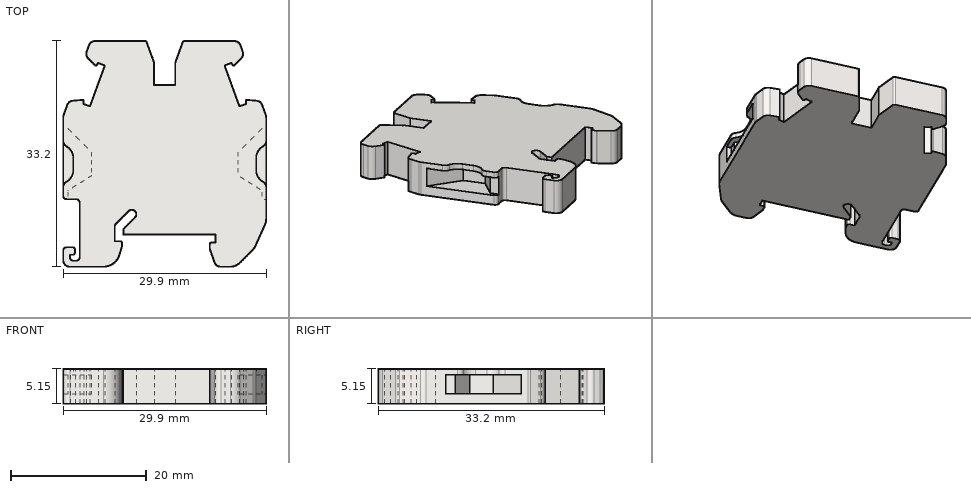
import math

import cadquery as cq

width = 29.9
height = 33.25
thickness = 5.15
half_width = width / 2

lean = math.tan(math.radians(20))

slot_half_width = 1.55
slot_depth = 6.47
slot_flare_depth = 3.18
slot_mouth_half_width = slot_half_width + slot_flare_depth * lean

cheek_x = 11.71
cheek_y = 31.11
cheek_top_x = cheek_x - (height - cheek_y) * lean
hook_tip_y = 29.53
hook_tip_x = cheek_x - (cheek_y - hook_tip_y)
hook_inner_x = 9.8
neck_top_x = 8.83
neck_top_y = 29.63
hook_inner_y = neck_top_y + (hook_inner_x - neck_top_x) * lean
neck_bottom_y = 23.65
neck_bottom_x = neck_top_x + (neck_top_y - neck_bottom_y) * lean

shoulder_lip_x = 11.93
shoulder_lip_y = neck_bottom_y + (shoulder_lip_x - neck_bottom_x) * lean
shoulder_lip_top_y = 24.6
shoulder_y = 24.42
shoulder_base_y = 22.2
shoulder_x = half_width - (shoulder_y - shoulder_base_y) * lean

right_flank_y = 6.6
right_knee_x = 13.22
right_knee_y = 2.75
right_toe_x = right_knee_x - right_knee_y
right_heel_x = 7.54
right_catch_x = 6.62
right_catch_low_y = 2.66
right_catch_top_y = 3.6

rail_right_x = 7.47
rail_left_x = -6.08
rail_y = 4.76

spring_slot_radius = 0.65
spring_slot_end_x = -4.84
spring_slot_end_y = 7.73
spring_slot_left_x = -7.33
diagonal_offset = spring_slot_end_y - spring_slot_end_x
diagonal_shift = spring_slot_radius * math.sqrt(2)
spring_slot_right_y = rail_left_x + diagonal_offset - diagonal_shift
spring_slot_left_y = spring_slot_left_x + diagonal_offset + diagonal_shift

left_catch_x = -6.27
left_catch_top_y = 3.8
left_catch_low_y = 3.04
left_heel_x = -7.16
curl_top_y = 2.89
curl_right_x = -13.2
curl_lip_y = 1.77
curl_inner_x = -13.93
curl_floor_y = 0.92
left_recess_x = -12.53
left_recess_y = 9.95

tip_radius = 0.15
small_radius = 0.3
recess_radius = 0.5
corner_radius = 1.0
flank_radius = 2.0
left_heel_radius = 2.5

shortest_edge = 1e-4

pocket_floor_z = 1.5
pocket_roof_z = 4.28
pocket_top_y = 21.07
pocket_depth = 4.17
pocket_back_low_y = 13.46
pocket_ledge_y = 11.3
pocket_ledge_depth = 0.7

notch_middle_y = 15.13
notch_half_flat = 0.87
notch_outer_radius = 1.0
notch_inner_radius = 2.0
notch_angle = math.radians(60)


def right_head_corners():
    """Corners (x, y, radius) of the right half of the head, from the slot to the shoulder."""
    return [
        (slot_half_width, height - slot_depth, 0),
        (slot_half_width, height - slot_flare_depth, 0),
        (slot_mouth_half_width, height, small_radius),
        (cheek_top_x, height, corner_radius),
        (cheek_x, cheek_y, corner_radius),
        (hook_tip_x, hook_tip_y, tip_radius),
        (hook_inner_x, hook_inner_y, 0),
        (neck_top_x, neck_top_y, 0),
        (neck_bottom_x, neck_bottom_y, 0),
        (shoulder_lip_x, shoulder_lip_y, 0),
        (shoulder_lip_x, shoulder_lip_top_y, tip_radius),
        (shoulder_x, shoulder_y, corner_radius),
        (half_width, shoulder_base_y, corner_radius),
    ]


def right_foot_corners():
    """Corners of the right foot, from the right flank to the rail recess."""
    return [
        (half_width, right_flank_y, flank_radius),
        (right_knee_x, right_knee_y, flank_radius),
        (right_toe_x, 0, flank_radius),
        (right_heel_x, 0, corner_radius),
        (right_catch_x, right_catch_low_y, small_radius),
        (right_catch_x, right_catch_top_y, small_radius),
        (rail_right_x, right_catch_top_y, 0),
        (rail_right_x, rail_y, 0),
    ]


def spring_slot_corners():
    """Corners of the oblique slot, from its right wall round its end to its left wall.

    The two corners of the slot end carry the slot radius, so together they make a half circle.
    """
    return [
        (rail_left_x, rail_y, 0),
        (rail_left_x, spring_slot_right_y, 0),
        (spring_slot_end_x + diagonal_shift, spring_slot_end_y, spring_slot_radius),
        (spring_slot_end_x, spring_slot_end_y + diagonal_shift, spring_slot_radius),
        (spring_slot_left_x, spring_slot_left_y, recess_radius),
        (spring_slot_left_x, left_catch_top_y, 0),
    ]


def left_foot_corners():
    """Corners of the left foot, its curled lip and the recess above it."""
    return [
        (left_catch_x, left_catch_top_y, small_radius),
        (left_catch_x, left_catch_low_y, small_radius),
        (left_heel_x, 0, left_heel_radius),
        (-half_width, 0, corner_radius),
        (-half_width, curl_top_y, recess_radius),
        (curl_right_x, curl_top_y, small_radius),
        (curl_right_x, curl_lip_y, small_radius),
        (curl_inner_x, curl_lip_y, tip_radius),
        (curl_inner_x, curl_floor_y, recess_radius),
        (left_recess_x, curl_floor_y, recess_radius),
        (left_recess_x, left_recess_y, recess_radius),
        (-half_width, left_recess_y, recess_radius),
    ]


def rounded_outline(corners):
    """Closed outline through the corners, each blended by a tangent arc of its own radius."""
    path = cq.Workplane("XY")
    pen = None
    for index, (x, y, radius) in enumerate(corners):
        corner = cq.Vector(x, y)
        before = cq.Vector(*corners[index - 1][:2])
        after = cq.Vector(*corners[(index + 1) % len(corners)][:2])
        to_before = (before - corner).normalized()
        to_after = (after - corner).normalized()
        half_angle = to_before.getAngle(to_after) / 2
        setback = radius / math.tan(half_angle)
        start = corner + to_before * setback
        end = corner + to_after * setback
        if pen is None:
            path = path.moveTo(start.x, start.y)
        elif (start - pen).Length > shortest_edge:
            path = path.lineTo(start.x, start.y)
        if radius > 0:
            bisector = (to_before + to_after).normalized()
            middle = corner + bisector * (radius / math.sin(half_angle) - radius)
            path = path.threePointArc((middle.x, middle.y), (end.x, end.y))
        pen = end
    return path.close()


def make_plate():
    """Plate with a symmetric head and two different feet."""
    right_head = right_head_corners()
    left_head = [(-x, y, radius) for x, y, radius in reversed(right_head)]
    corners = (
        right_head
        + right_foot_corners()
        + spring_slot_corners()
        + left_foot_corners()
        + left_head
    )
    return rounded_outline(corners).extrude(thickness)


def left_pocket():
    """Pocket with a 45 degree upper wall, a flat back and a shallow ledge at its lower end."""
    back_x = -half_width + pocket_depth
    ledge_x = -half_width + pocket_ledge_depth
    outline = [
        (-half_width, pocket_top_y),
        (back_x, pocket_top_y - pocket_depth),
        (back_x, pocket_back_low_y),
        (ledge_x, pocket_ledge_y),
        (ledge_x, left_recess_y),
        (-half_width, left_recess_y),
    ]
    floor = cq.Workplane("XY").workplane(offset=pocket_floor_z)
    return floor.polyline(outline).close().extrude(pocket_roof_z - pocket_floor_z)


def left_notch():
    """Notch whose two ends sweep from the plate edge to the notch bottom in an S of two arcs."""
    half_tangent = math.tan(notch_angle / 2)
    depth = (notch_outer_radius + notch_inner_radius) * (1 - math.cos(notch_angle))
    bottom_offset = notch_half_flat + notch_inner_radius * half_tangent
    edge_offset = bottom_offset + depth / math.tan(notch_angle)
    far_offset = edge_offset + notch_outer_radius
    upper_half = [
        (-half_width - notch_outer_radius, far_offset, 0),
        (-half_width, far_offset, 0),
        (-half_width, edge_offset, notch_outer_radius),
        (-half_width + depth, bottom_offset, notch_inner_radius),
    ]
    lower_half = [(x, -offset, radius) for x, offset, radius in reversed(upper_half)]
    notch = rounded_outline(upper_half + lower_half).extrude(thickness - pocket_roof_z)
    return notch.translate((0, notch_middle_y, pocket_roof_z))


left_cut = left_pocket().union(left_notch())
right_cut = left_cut.mirror("YZ")
result = make_plate().cut(left_cut).cut(right_cut)